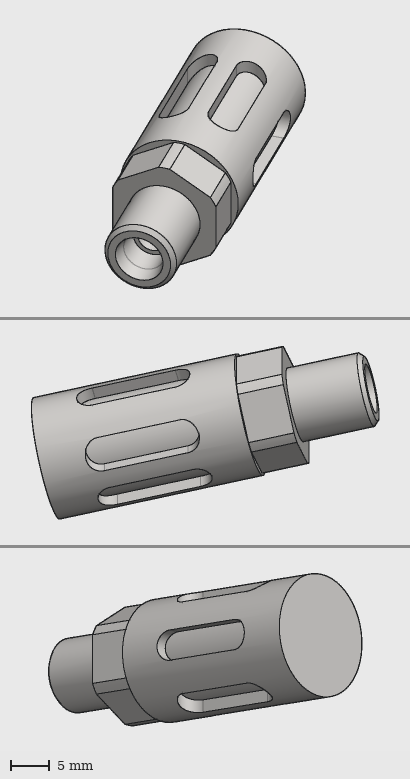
import cadquery as cq
import math

total_length = 43.0
stem_length = 10.0
hex_length = 6.0

stem_diameter = 9.7
stem_chamfer = 0.6
hex_across_flats = 14.0
hex_corner_diameter = 15.4
body_diameter = 16.0

bore_mouth_diameter = 6.45
bore_throat_diameter = 5.6
bore_taper_length = 2.0
bore_ledge_diameter = 5.1
bore_depth = 5.15
inner_bore_diameter = 3.9
inner_bore_depth = 10.3

slot_length = 15.0
slot_width = 3.95
slot_back_margin = 6.0
slot_offset = 3.3
core_diameter = 12.8

front_y = -total_length / 2
hex_front_y = front_y + stem_length
body_front_y = hex_front_y + hex_length
back_y = total_length / 2
body_length = back_y - body_front_y
slot_center_y = back_y - slot_back_margin - slot_length / 2


def rod(diameter, start_y, length):
    """Solid cylinder along +Y from start_y."""
    start = cq.Workplane("XZ", origin=(0, start_y, 0))
    return start.circle(diameter / 2).extrude(-length)


def make_hex():
    """Hexagon with flats facing +X and -X and its corners turned round."""
    across_corners = hex_across_flats / math.cos(math.pi / 6)
    prism = (
        cq.Workplane("XZ", origin=(0, hex_front_y, 0))
        .transformed(rotate=(0, 0, 90))
        .polygon(6, across_corners)
        .extrude(-hex_length)
    )
    return prism.intersect(rod(hex_corner_diameter, hex_front_y, hex_length))


def make_bore():
    """Two tapers, a flat ledge, and a smaller blind hole behind it."""
    taper_end_y = front_y + bore_taper_length
    ledge_y = front_y + bore_depth
    inner_end_y = front_y + inner_bore_depth
    profile = [
        (0, front_y),
        (bore_mouth_diameter / 2, front_y),
        (bore_throat_diameter / 2, taper_end_y),
        (bore_ledge_diameter / 2, ledge_y),
        (inner_bore_diameter / 2, ledge_y),
        (inner_bore_diameter / 2, inner_end_y),
        (0, inner_end_y),
    ]
    return cq.Workplane("XY").polyline(profile).close().revolve(360, (0, 0, 0), (0, 1, 0))


def make_slots():
    """Pairs of slots cut straight along Z, and one slot on each side along X."""
    vertical = (
        cq.Workplane("XY")
        .pushPoints([(-slot_offset, slot_center_y), (slot_offset, slot_center_y)])
        .slot2D(slot_length, slot_width, 90)
        .extrude(body_diameter, both=True)
    )
    sideways = (
        cq.Workplane("YZ")
        .center(slot_center_y, 0)
        .slot2D(slot_length, slot_width)
        .extrude(body_diameter, both=True)
    )
    core = rod(core_diameter, body_front_y, body_length)
    return vertical.union(sideways).cut(core)


stem = rod(stem_diameter, front_y, stem_length).faces("<Y").chamfer(stem_chamfer)
body = rod(body_diameter, body_front_y, body_length).cut(make_slots())
result = stem.union(make_hex()).union(body).cut(make_bore())